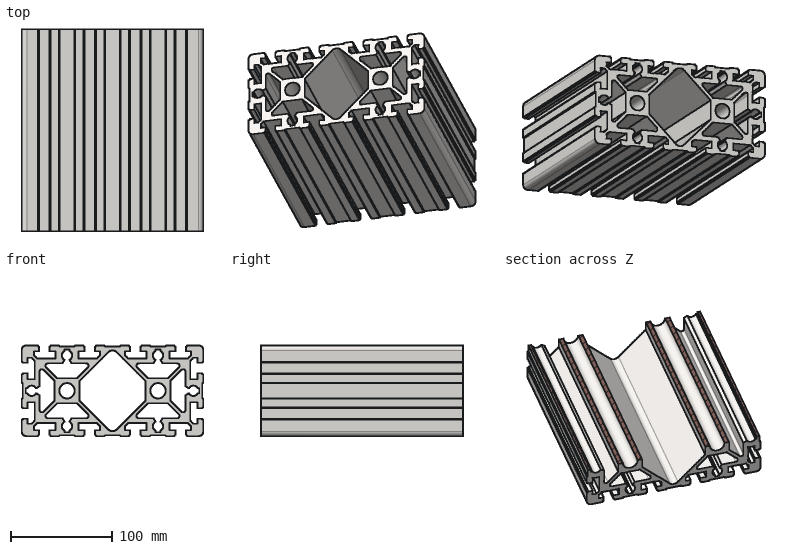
import cadquery as cq
import math

MODULE = 90.0
LENGTH = 200.0
WIDTH = 2 * MODULE
HALF_HEIGHT = MODULE / 2
CORE_X = MODULE / 2
SLOT_OFFSET = MODULE / 4
CORNER_RADIUS = 5.0

SLOT_OPENING = 10.0
MOUTH_WIDTH = 12.5
MOUTH_DEPTH = 1.5
SHOULDER_WIDTH = 11.5
SHOULDER_DEPTH = 1.2
LIP_THICKNESS = 6.0
SLOT_DEPTH = 13.0
CAVITY_INNER_REACH = 11.0
CAVITY_OUTER_REACH = 10.0
SLOT_FLOOR_CHAMFER = 3.0

RELIEF_WIDTH = 16.0
RELIEF_FLOOR_WIDTH = 14.5
RELIEF_DEPTH = 1.0

CORE_SIDE = 25.0
BORE_DIAMETER = 15.0
STRUT_THICKNESS = 3.8
CHAMBER_EDGE = 27.0
CHAMBER_RADIUS = 2.2
DIAMOND_RADIUS = 6.0

KEYHOLE_RADIUS = 5.0
KEYHOLE_CENTRE = 35.0
KEYHOLE_END = 40.8
NECK_WIDTH = 4.5
KEYHOLE_MOUTH_WIDTH = 9.0

CORE_HALF = CORE_SIDE / 2
STRUT_SHIFT = STRUT_THICKNESS / math.sqrt(2)


def extrude_outline(points):
    """Extrude a closed XZ outline over the full length, centred on Y = 0."""
    return cq.Workplane("XZ").polyline(points).close().extrude(LENGTH / 2, both=True)


def extrude_circle(x, z, radius):
    return cq.Workplane("XZ").center(x, z).circle(radius).extrude(LENGTH / 2, both=True)


def turn(shape, angle):
    """Rotate about the extrusion axis."""
    return shape.rotate((0, 0, 0), (0, 1, 0), angle)


def t_slot(outer_side):
    """Slot cut downwards from Z = 0; one floor corner is bevelled, on the outer_side (+1 or -1)."""
    opening = SLOT_OPENING / 2
    mouth = MOUTH_WIDTH / 2
    shoulder = SHOULDER_WIDTH / 2
    inner = CAVITY_INNER_REACH
    outer = CAVITY_OUTER_REACH
    points = [
        (-mouth, 0),
        (-shoulder, -SHOULDER_DEPTH),
        (-opening, -MOUTH_DEPTH),
        (-opening, -LIP_THICKNESS),
        (-inner, -LIP_THICKNESS),
        (-inner, -SLOT_DEPTH),
        (outer - SLOT_FLOOR_CHAMFER, -SLOT_DEPTH),
        (outer, SLOT_FLOOR_CHAMFER - SLOT_DEPTH),
        (outer, -LIP_THICKNESS),
        (opening, -LIP_THICKNESS),
        (opening, -MOUTH_DEPTH),
        (shoulder, -SHOULDER_DEPTH),
        (mouth, 0),
    ]
    return extrude_outline([(outer_side * x, z) for x, z in points])


def relief():
    """Shallow strip with sloping sides, cut downwards from Z = 0."""
    top = RELIEF_WIDTH / 2
    floor = RELIEF_FLOOR_WIDTH / 2
    return extrude_outline([(-top, 0), (top, 0), (floor, -RELIEF_DEPTH), (-floor, -RELIEF_DEPTH)])


def chamber_with_keyhole():
    """Trapezoidal chamber above a module centre, with its keyhole channel."""
    inner_x = CORE_HALF - STRUT_SHIFT
    outer_x = CHAMBER_EDGE - STRUT_SHIFT
    chamber = extrude_outline([
        (-inner_x, CORE_HALF),
        (inner_x, CORE_HALF),
        (outer_x, CHAMBER_EDGE),
        (-outer_x, CHAMBER_EDGE),
    ])
    chamber = chamber.faces(">Z").edges("|Y").fillet(CHAMBER_RADIUS)
    neck = NECK_WIDTH / 2
    mouth = KEYHOLE_MOUTH_WIDTH / 2
    neck_z = KEYHOLE_CENTRE - math.sqrt(KEYHOLE_RADIUS**2 - neck**2)
    passage = extrude_outline([
        (-mouth, CHAMBER_EDGE),
        (mouth, CHAMBER_EDGE),
        (neck, neck_z),
        (neck, KEYHOLE_END),
        (-neck, KEYHOLE_END),
        (-neck, neck_z),
    ])
    return chamber.union(passage).union(extrude_circle(0, KEYHOLE_CENTRE, KEYHOLE_RADIUS))


def central_diamond():
    """Large opening between the two cores, bounded by the struts and core sides."""
    side_x = CORE_X - CORE_HALF
    side_z = CORE_HALF - STRUT_SHIFT
    apex_z = CORE_X - STRUT_SHIFT
    diamond = extrude_outline([
        (-side_x, -side_z),
        (-side_x, side_z),
        (0, apex_z),
        (side_x, side_z),
        (side_x, -side_z),
        (0, -apex_z),
    ])
    return diamond.edges("|Y and (>Z or <Z)").fillet(DIAMOND_RADIUS)


def face_cuts():
    """Cuts above one module: two slots, the relief and the chamber, about the module centre."""
    cuts = relief().union(t_slot(1).translate((SLOT_OFFSET, 0, 0)))
    cuts = cuts.union(t_slot(-1).translate((-SLOT_OFFSET, 0, 0)))
    return cuts.translate((0, 0, HALF_HEIGHT)).union(chamber_with_keyhole())


body = cq.Workplane("XY").box(WIDTH, LENGTH, MODULE).edges("|Y").fillet(CORNER_RADIUS)
body = body.cut(central_diamond())

module_face_cuts = face_cuts()
for side in (-1, 1):
    for angle in (0, side * 90, 180):
        body = body.cut(turn(module_face_cuts, angle).translate((side * CORE_X, 0, 0)))
    body = body.cut(extrude_circle(side * CORE_X, 0, BORE_DIAMETER / 2))

middle_relief = relief().translate((0, 0, HALF_HEIGHT))
for angle in (0, 180):
    body = body.cut(turn(middle_relief, angle))

result = body